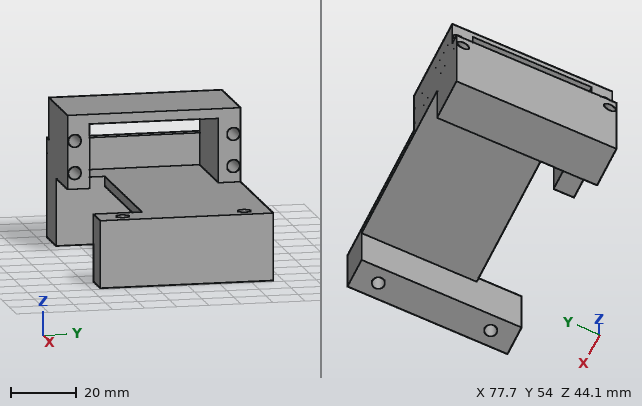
import cadquery as cq

length = 77.7
width = 54.0
height = 44.1

sheet = 3.0

leg_height = 18.0
front_leg_length = 13.8
rear_leg_length = 10.1

housing_length = 27.3
housing_wall = 6.9
lip_top = 31.0

notch_width = 15.15

hole_diameter = 4.0
side_hole_inset = 2.25
side_hole_heights = (26.0, 36.05)
deck_hole_inset = 5.1
deck_hole_places = (8.1, 46.0)

deck_top = leg_height + sheet
lid_bottom = height - sheet
housing_end = sheet + housing_length
rear_leg_start = length - rear_leg_length


def block(x_range, y_range, z_range):
    """Box spanning the given start and end on each axis."""
    (x0, x1), (y0, y1), (z0, z1) = x_range, y_range, z_range
    return cq.Workplane("XY").box(x1 - x0, y1 - y0, z1 - z0, centered=False).translate((x0, y0, z0))


full_width = (0, width)

deck = block((0, length), full_width, (leg_height, deck_top))
notch = block((front_leg_length, rear_leg_start), (0, notch_width), (leg_height, deck_top))
front_leg = block((0, front_leg_length), full_width, (0, leg_height))
rear_leg = block((rear_leg_start, length), full_width, (0, leg_height))
base = deck.cut(notch).union(front_leg).union(rear_leg)

lip = block((0, sheet), full_width, (leg_height, lip_top))

housing_span = (sheet, housing_end)
housing = block(housing_span, full_width, (lid_bottom, height))
for wall_start in (0, width - housing_wall):
    wall = block(housing_span, (wall_start, wall_start + housing_wall), (deck_top, lid_bottom))
    housing = housing.union(wall)

result = base.union(lip).union(housing)

side_hole_points = [
    (y, z) for y in (side_hole_inset, width - side_hole_inset) for z in side_hole_heights
]
side_holes = (
    cq.Workplane("YZ").pushPoints(side_hole_points).circle(hole_diameter / 2).extrude(housing_end)
)

deck_hole_points = [(length - deck_hole_inset, y) for y in deck_hole_places]
deck_holes = (
    cq.Workplane("XY").pushPoints(deck_hole_points).circle(hole_diameter / 2).extrude(deck_top)
)

result = result.cut(side_holes).cut(deck_holes)